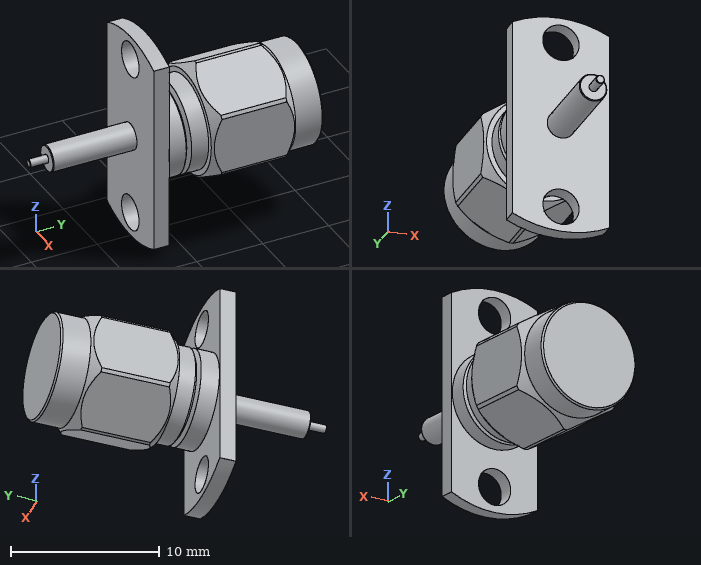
import cadquery as cq
import math


pin_tip_y = -7.73
dielectric_end_y = -6.34
flange_thickness = 1.19
groove_start_y = 2.5
groove_end_y = 2.9
nut_start_y = 4.2
nut_end_y = 10.6
overall_length = 20.45
nose_end_y = pin_tip_y + overall_length

flange_width = 7.0
flange_diameter = 15.89
mounting_hole_diameter = 2.6
mounting_hole_spacing = 12.23

body_diameter = 6.87
groove_depth = 0.33
nose_diameter = 7.65
nose_chamfer = 0.12
dielectric_diameter = 1.98
dielectric_chamfer = 0.06
pin_diameter = 0.61
pin_chamfer = 0.05

nut_across_flats = 7.93
nut_corner_diameter = 9.0
nut_end_diameter = nose_diameter
nut_bevel_length = 0.74


def rod(diameter, start_y, end_y):
    """Solid cylinder on the Y axis between two stations."""
    plane = cq.Workplane("XZ", origin=(0, start_y, 0))
    return plane.circle(diameter / 2).extrude(start_y - end_y)


def turned(profile):
    """Revolve (radius, y) points about the Y axis."""
    return cq.Workplane("XY").polyline(profile).close().revolve(360, (0, 0, 0), (0, 1, 0))


def make_flange():
    """Round disc cut to two straight sides, with two mounting holes."""
    disc = rod(flange_diameter, 0, flange_thickness)
    strip = cq.Workplane("XZ").rect(flange_width, flange_diameter).extrude(-flange_thickness)
    holes = (
        cq.Workplane("XZ")
        .rarray(0.2, mounting_hole_spacing, 1, 2)
        .circle(mounting_hole_diameter / 2)
        .extrude(-flange_thickness)
    )
    return disc.intersect(strip).cut(holes)


def make_body():
    """Round body with a sharp V groove."""
    outer = body_diameter / 2
    middle = (groove_start_y + groove_end_y) / 2
    return turned([
        (0, flange_thickness),
        (outer, flange_thickness),
        (outer, groove_start_y),
        (outer - groove_depth, middle),
        (outer, groove_end_y),
        (outer, nut_start_y),
        (0, nut_start_y),
    ])


def make_nut():
    """Hexagon with flats facing X, its corners rounded and both ends bevelled."""
    corner_to_corner = nut_across_flats / math.cos(math.pi / 6)
    hexagon = (
        cq.Workplane("XZ", origin=(0, nut_start_y, 0))
        .transformed(rotate=(0, 0, 90))
        .polygon(6, corner_to_corner)
        .extrude(nut_start_y - nut_end_y)
    )
    envelope = turned([
        (0, nut_start_y),
        (nut_end_diameter / 2, nut_start_y),
        (nut_corner_diameter / 2, nut_start_y + nut_bevel_length),
        (nut_corner_diameter / 2, nut_end_y - nut_bevel_length),
        (nut_end_diameter / 2, nut_end_y),
        (0, nut_end_y),
    ])
    return hexagon.intersect(envelope)


nose = rod(nose_diameter, nut_end_y, nose_end_y).faces(">Y").chamfer(nose_chamfer)
dielectric = rod(dielectric_diameter, dielectric_end_y, 0).faces("<Y").chamfer(dielectric_chamfer)
pin = rod(pin_diameter, pin_tip_y, dielectric_end_y).faces("<Y").chamfer(pin_chamfer)

result = make_flange()
for section in (make_body(), make_nut(), nose, dielectric, pin):
    result = result.union(section)